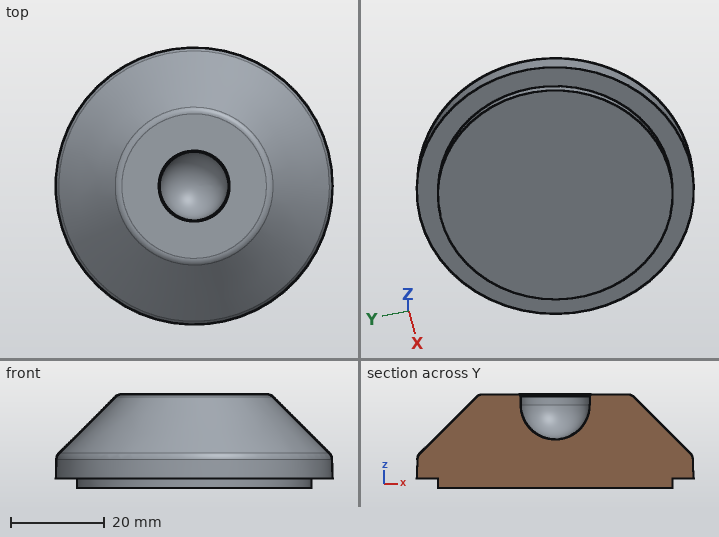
import cadquery as cq
import math

flange_diameter = 59.0
spigot_diameter = 50.0
top_diameter = 32.45
total_height = 20.0
spigot_height = 2.0
flange_draft = 2.0
edge_radius = 2.0
bore_diameter = 14.65
bore_depth = 2.3
lip_width = 0.25
lip_depth = 0.5

flange_radius = flange_diameter / 2
spigot_radius = spigot_diameter / 2
top_radius = top_diameter / 2
bore_radius = bore_diameter / 2

draft_slope = math.tan(math.radians(flange_draft))
cone_base_height = total_height - (flange_radius - top_radius)
flange_height = (cone_base_height - spigot_height) / (1 - draft_slope)
shoulder_height = spigot_height + flange_height
shoulder_radius = flange_radius - flange_height * draft_slope


def revolve_profile(points):
    """Revolve a closed (radius, height) outline about the Z axis."""
    return cq.Workplane("XZ").polyline(points).close().revolve(360, (0, 0, 0), (0, 1, 0))


def make_body():
    """Revolve the spigot, flange and cone, then round the cone's two edges."""
    body = revolve_profile([
        (0, 0),
        (spigot_radius, 0),
        (spigot_radius, spigot_height),
        (flange_radius, spigot_height),
        (shoulder_radius, shoulder_height),
        (top_radius, total_height),
        (0, total_height),
    ])
    cone_edges = cq.selectors.BoxSelector(
        (-flange_diameter, -flange_diameter, shoulder_height - edge_radius / 2),
        (flange_diameter, flange_diameter, total_height + edge_radius),
        boundingbox=True,
    )
    return body.edges("%CIRCLE").edges(cone_edges).fillet(edge_radius)


def make_socket():
    """Bore with a bevelled mouth, ending in a hemispherical bottom."""
    sphere_height = total_height - bore_depth
    bore = revolve_profile([
        (0, sphere_height),
        (bore_radius, sphere_height),
        (bore_radius, total_height - lip_depth),
        (bore_radius + lip_width, total_height),
        (0, total_height),
    ])
    bottom = cq.Workplane("XY").sphere(bore_radius).translate((0, 0, sphere_height))
    return bore.union(bottom)


result = make_body().cut(make_socket())